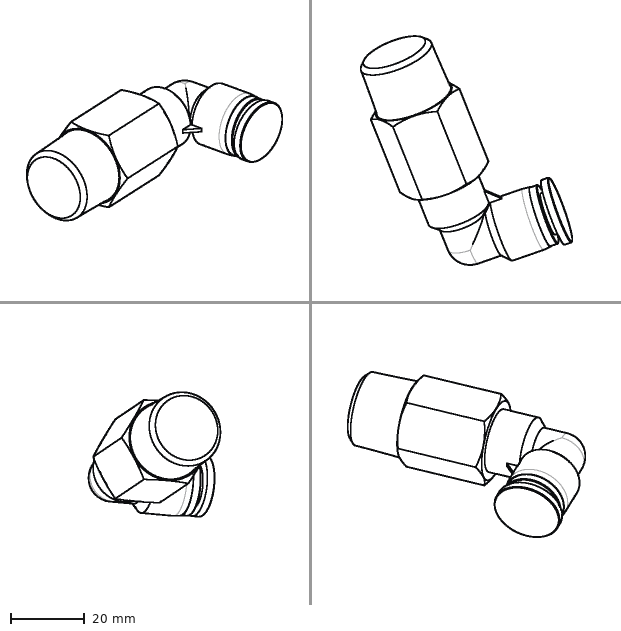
import cadquery as cq
import math


total_length = 68.1

pipe_radius = 6.5
sleeve_radius = 17.6 / 2
cone_start = 6.8
cone_length = sleeve_radius - pipe_radius
stem_cone_start = 6.55
taper_start = 18.25
taper_end = 20.3
taper_end_radius = 8.6
cap_radius = 16.9 / 2
cap_end = 22.55
edge_chamfer = 0.2

web_reach = 12.45
web_thickness = 1.0

neck_radius = 11.9 / 2
flange_start = 24.0
flange_end = 26.15
flange_width = 18.9
flange_height = 16.6

across_flats = 22.2
corner_radius = across_flats / math.sqrt(3)
hex_start = 18.9
hex_length = 24.6
hex_end = hex_start + hex_length
hex_face_radius = 11.0
hex_chamfer_angle = 30
hex_chamfer = (corner_radius - hex_face_radius) * math.tan(math.radians(hex_chamfer_angle))
thread_root_radius = 10.7
thread_tip_radius = 10.3
thread_end_radius = 9.0
stud_end = total_length - flange_width / 2
tip_chamfer_length = 1.35


def turned_along_x(profile):
    """Revolve (distance along +X, radius) points around the X axis."""
    return cq.Workplane("XY").polyline(profile).close().revolve(360, (0, 0, 0), (1, 0, 0))


def turned_along_stem(profile):
    """Revolve (distance along -Y, radius) points around the Y axis."""
    points = [(radius, -distance) for distance, radius in profile]
    return cq.Workplane("XY").polyline(points).close().revolve(360, (0, 0, 0), (0, 1, 0))


def make_elbow():
    arm = turned_along_x([
        (0, 0),
        (0, pipe_radius),
        (cone_start, pipe_radius),
        (cone_start + cone_length, sleeve_radius),
        (taper_start, sleeve_radius),
        (taper_end, taper_end_radius),
        (taper_end, cap_radius),
        (cap_end - edge_chamfer, cap_radius),
        (cap_end, cap_radius - edge_chamfer),
        (cap_end, 0),
    ])
    stem = turned_along_stem([
        (0, 0),
        (0, pipe_radius),
        (stem_cone_start, pipe_radius),
        (stem_cone_start + cone_length, sleeve_radius),
        (hex_start, sleeve_radius),
        (hex_start, 0),
    ])
    corner_ball = cq.Workplane("XY").sphere(pipe_radius)
    web = (
        cq.Workplane("XY")
        .polyline([(0, 0), (web_reach, 0), (web_reach, -sleeve_radius),
                   (sleeve_radius, -web_reach), (0, -web_reach)])
        .close()
        .extrude(web_thickness / 2, both=True)
    )
    return arm.union(stem).union(corner_ball).union(web)


def make_release_ring():
    neck = turned_along_x([
        (cap_end, 0),
        (cap_end, neck_radius),
        (flange_start, neck_radius),
        (flange_start, 0),
    ])
    flange = (
        cq.Workplane("YZ", origin=(flange_start, 0, 0))
        .ellipse(flange_width / 2, flange_height / 2)
        .extrude(flange_end - flange_start)
        .faces(">X")
        .chamfer(edge_chamfer)
    )
    return neck.union(flange)


def make_stud():
    prism = (
        cq.Workplane("XZ", origin=(0, -hex_start, 0))
        .polygon(6, 2 * corner_radius)
        .extrude(hex_length)
    )
    envelope = turned_along_stem([
        (hex_start, 0),
        (hex_start, hex_face_radius),
        (hex_start + hex_chamfer, corner_radius),
        (hex_end - hex_chamfer, corner_radius),
        (hex_end, hex_face_radius),
        (hex_end, 0),
    ])
    thread = turned_along_stem([
        (hex_end, 0),
        (hex_end, thread_root_radius),
        (stud_end - tip_chamfer_length, thread_tip_radius),
        (stud_end, thread_end_radius),
        (stud_end, 0),
    ])
    return prism.intersect(envelope).union(thread)


elbow = make_elbow()
release_ring = make_release_ring()
stud = make_stud()

result = cq.Compound.makeCompound([elbow.val(), release_ring.val(), stud.val()])